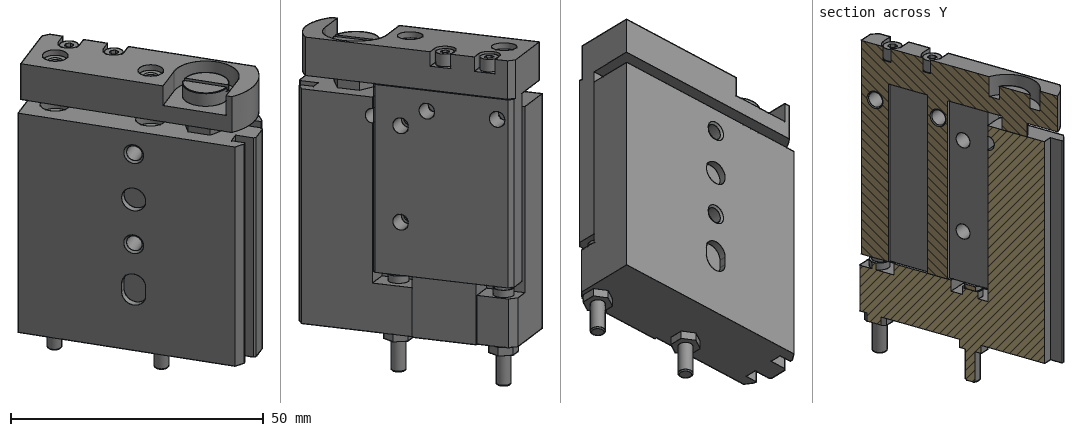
import cadquery as cq


housing_bottom = 8.5
housing_top = 57.2
housing_depth = 14.55
front_wall_depth = 9.4
front_edge_x = 45.4
corner_x = 46.65
corner_y = 1.8
groove_floor_x = 43.85
groove_start_y = 2.4
rib_start_y = 4.95
rib_x = 48.0
rib_chamfer = 0.4
left_corner_chamfer = 1.5

ledge_z = 18.6
bay_side_clearance = 0.3
bay_notch_diameter = 3.0
bay_notch_z = 53.3

mount_x = 24.2
mount_hole_diameter = 3.25
mount_hole_rim = 4.15
mount_hole_z = 52.1
mount_hole_pitch = 20.0
locating_diameter = 5.0
locating_depth = 1.5
locating_hole_z = 42.0
locating_slot_length = 6.9
bore_diameter = 6.0
bore_depth = 2.45

ridge_start_x = 8.15
ridge_end_x = 21.75

adjuster_axes = [(3.5, 12.05), (26.25, 10.95)]
rod_diameter = 3.0
rod_tip_chamfer = 0.3
nut_bottom = 6.7
nut_across_corners = 6.0
stop_collar_diameter = 4.15
stop_collar_top = 20.1

table_left = 0.4
end_plate_front = 0.5
end_plate_back = 14.55
end_plate_bottom = 60.05
end_plate_top = 68.0
end_plate_corner_x = 44.6
end_plate_nose_x = 47.25
end_plate_chamfer = 1.2

back_plate_front = 9.85
back_plate_back = 15.0
back_plate_bottom = 21.1
back_plate_right = 30.1
back_plate_left_chamfer = 0.95
back_plate_right_chamfer = 0.5
channel_spans = [(6.95, 16.05), (20.95, back_plate_right)]
channel_depth = 0.7
pad_hole_xs = [3.7, 18.6]
pad_hole_diameter = 3.25
pad_hole_rim = 4.0
pad_hole_z = 55.75
bumper_diameter = 3.55
bumper_offset_y = 0.3

tool_hole_start_x = 5.7
tool_hole_pitch = mount_hole_pitch
tool_hole_y = 6.05
tool_hole_diameter = 2.45
tool_hole_rim = 3.0
tool_bore_diameter = 5.0
tool_bore_depth = 1.2

screw_xs = [6.5, 15.9]
screw_y = 12.05
screw_slot_width = 4.35
screw_slot_depth = 3.0
screw_head_diameter = 3.75
screw_head_recess = 0.4
screw_socket_across_corners = 1.85
screw_socket_depth = 1.0

bolt_x = 36.8
bolt_y = 7.3
bolt_pocket_width = 13.2
bolt_pocket_floor = 63.65
bolt_head_top = 66.6
bolt_head_diameter = 9.25
bolt_head_chamfer = 0.15
bolt_slot_width = 1.0
bolt_slot_depth = 1.0


def box_between(x0, x1, y0, y1, z0, z1):
    return cq.Workplane("XY").box(x1 - x0, y1 - y0, z1 - z0, centered=False).translate((x0, y0, z0))


def cylinder_up(x, y, z0, z1, diameter):
    return cq.Workplane("XY", origin=(x, y, z0)).circle(diameter / 2).extrude(z1 - z0)


def hex_up(x, y, z0, z1, across_corners, turn):
    prism = cq.Workplane("XY").polygon(6, across_corners).extrude(z1 - z0)
    return prism.rotate((0, 0, 0), (0, 0, 1), turn).translate((x, y, z0))


def cylinder_back(x, z, y0, y1, diameter):
    """Cylinder along +Y from y0 to y1."""
    return cq.Workplane("XZ", origin=(x, y0, z)).circle(diameter / 2).extrude(y0 - y1)


def rimmed_hole_back(x, z, y0, y1, diameter, rim_diameter):
    """Cutter along +Y with a 45-degree countersunk rim at y0."""
    sink = (rim_diameter - diameter) / 2
    rim = cq.Solid.makeCone(rim_diameter / 2, diameter / 2, sink, cq.Vector(x, y0, z), cq.Vector(0, 1, 0))
    return cylinder_back(x, z, y0, y1, diameter).union(cq.Workplane(obj=rim))


tool_hole_xs = [tool_hole_start_x + i * tool_hole_pitch for i in range(2)]


def housing_block():
    front_half = [
        (front_edge_x, 0),
        (corner_x, corner_y),
        (corner_x, groove_start_y),
        (groove_floor_x, groove_start_y),
        (groove_floor_x, rib_start_y),
        (rib_x - rib_chamfer, rib_start_y),
        (rib_x, rib_start_y + rib_chamfer),
    ]
    back_half = [(x, housing_depth - y) for x, y in reversed(front_half)]
    left_side = [
        (left_corner_chamfer, housing_depth),
        (0, housing_depth - left_corner_chamfer),
        (0, 0),
    ]
    outline = cq.Workplane("XY", origin=(0, 0, housing_bottom)).polyline(front_half + back_half + left_side)
    return outline.close().extrude(housing_top - housing_bottom)


def cut_table_bay(body):
    bay_right = back_plate_right + bay_side_clearance
    bay = box_between(0, bay_right, front_wall_depth, housing_depth, ledge_z, housing_top)
    notch = cylinder_back(bay_right, bay_notch_z, front_wall_depth, housing_depth, bay_notch_diameter)
    return body.cut(bay).cut(notch)


def cut_front_holes(body):
    for z in (mount_hole_z, mount_hole_z - mount_hole_pitch):
        hole = rimmed_hole_back(mount_x, z, 0, front_wall_depth, mount_hole_diameter, mount_hole_rim)
        body = body.cut(hole)
    body = body.cut(cylinder_back(mount_x, locating_hole_z, 0, locating_depth, locating_diameter))
    slot_z = locating_hole_z - mount_hole_pitch
    slot = (
        cq.Workplane("XZ", origin=(mount_x, 0, slot_z))
        .slot2D(locating_slot_length, locating_diameter, 90)
        .extrude(-locating_depth)
    )
    return body.cut(slot)


def cut_top_bores(body):
    for x in tool_hole_xs:
        body = body.cut(cylinder_up(x, tool_hole_y, housing_top - bore_depth, housing_top, bore_diameter))
    return body


def add_back_ridge(body):
    """Raised block between the adjusters, reaching up to the underside of the table's back plate."""
    ridge = box_between(
        ridge_start_x, ridge_end_x, front_wall_depth, back_plate_back, housing_bottom, back_plate_bottom
    )
    return body.union(ridge)


def stroke_adjuster(x, y):
    rod = cylinder_up(x, y, 0, ledge_z, rod_diameter).faces("<Z").chamfer(rod_tip_chamfer)
    nut = hex_up(x, y, nut_bottom, housing_bottom, nut_across_corners, 30)
    collar = cylinder_up(x, y, ledge_z, stop_collar_top, stop_collar_diameter)
    return rod.union(nut).union(collar)


def make_housing():
    body = cut_table_bay(housing_block())
    body = cut_top_bores(cut_front_holes(body))
    body = add_back_ridge(body)
    for x, y in adjuster_axes:
        body = body.union(stroke_adjuster(x, y))
    return body


def end_plate():
    nose_y = (end_plate_front + end_plate_back) / 2
    return (
        cq.Workplane("XY", origin=(0, 0, end_plate_bottom))
        .moveTo(table_left, end_plate_front)
        .lineTo(end_plate_corner_x, end_plate_front)
        .threePointArc((end_plate_nose_x, nose_y), (end_plate_corner_x, end_plate_back))
        .lineTo(table_left + end_plate_chamfer, end_plate_back)
        .lineTo(table_left, end_plate_back - end_plate_chamfer)
        .close()
        .extrude(end_plate_top - end_plate_bottom)
    )


def back_plate():
    outline = [
        (table_left, back_plate_front),
        (back_plate_right, back_plate_front),
        (back_plate_right, back_plate_back - back_plate_right_chamfer),
        (back_plate_right - back_plate_right_chamfer, back_plate_back),
        (table_left + back_plate_left_chamfer, back_plate_back),
        (table_left, back_plate_back - back_plate_left_chamfer),
    ]
    base = cq.Workplane("XY", origin=(0, 0, back_plate_bottom)).polyline(outline).close()
    plate = base.extrude(end_plate_bottom - back_plate_bottom)
    for x0, x1 in channel_spans:
        channel_back = back_plate_front + channel_depth
        plate = plate.cut(
            box_between(x0, x1, back_plate_front, channel_back, back_plate_bottom, end_plate_bottom)
        )
    for x in pad_hole_xs:
        hole = rimmed_hole_back(
            x, pad_hole_z, back_plate_front, back_plate_back, pad_hole_diameter, pad_hole_rim
        )
        plate = plate.cut(hole)
    for z in (mount_hole_z, mount_hole_z - mount_hole_pitch):
        plate = plate.cut(cylinder_back(mount_x, z, back_plate_front, back_plate_back, mount_hole_diameter))
    return plate


def add_bumpers(body):
    """Round bumpers under the back plate that land on the adjusters' collars."""
    for x, y in adjuster_axes:
        bumper_y = y + bumper_offset_y
        bumper = cylinder_up(x, bumper_y, stop_collar_top, back_plate_bottom, bumper_diameter)
        body = body.union(bumper)
    return body


def cut_tool_holes(body):
    bore_floor = end_plate_top - tool_bore_depth
    sink = (tool_hole_rim - tool_hole_diameter) / 2
    for x in tool_hole_xs:
        rim = cq.Solid.makeCone(
            tool_hole_diameter / 2, tool_hole_rim / 2, sink, cq.Vector(x, tool_hole_y, bore_floor - sink)
        )
        body = body.cut(cylinder_up(x, tool_hole_y, bore_floor, end_plate_top, tool_bore_diameter))
        body = body.cut(cylinder_up(x, tool_hole_y, end_plate_bottom, bore_floor, tool_hole_diameter))
        body = body.cut(cq.Workplane(obj=rim))
    return body


def add_recessed_screws(body):
    """Socket-head screws sunk in U-slots that open to the back of the end plate."""
    slot_floor = end_plate_top - screw_slot_depth
    head_top = end_plate_top - screw_head_recess
    half_width = screw_slot_width / 2
    for x in screw_xs:
        slot_end = cylinder_up(x, screw_y, slot_floor, end_plate_top, screw_slot_width)
        slot_mouth = box_between(
            x - half_width, x + half_width, screw_y, end_plate_back, slot_floor, end_plate_top
        )
        socket = hex_up(
            x, screw_y, head_top - screw_socket_depth, head_top, screw_socket_across_corners, 30
        )
        head = cylinder_up(x, screw_y, slot_floor, head_top, screw_head_diameter).cut(socket)
        body = body.cut(slot_end).cut(slot_mouth).union(head)
    return body


def add_stop_bolt(body):
    """Slotted bolt in a round-backed pocket, with a hexagon below the end plate."""
    half_width = bolt_pocket_width / 2
    pocket_back = cylinder_up(bolt_x, bolt_y, bolt_pocket_floor, end_plate_top, bolt_pocket_width)
    pocket_mouth = box_between(
        bolt_x - half_width, bolt_x + half_width, end_plate_front, bolt_y, bolt_pocket_floor, end_plate_top
    )
    head_radius = bolt_head_diameter / 2
    slot = box_between(
        bolt_x - head_radius,
        bolt_x + head_radius,
        bolt_y - bolt_slot_width / 2,
        bolt_y + bolt_slot_width / 2,
        bolt_head_top - bolt_slot_depth,
        bolt_head_top,
    )
    head = cylinder_up(bolt_x, bolt_y, bolt_pocket_floor, bolt_head_top, bolt_head_diameter)
    head = head.faces(">Z").chamfer(bolt_head_chamfer).cut(slot)
    hexagon = hex_up(bolt_x, bolt_y, housing_top, end_plate_bottom, bolt_head_diameter, 0)
    return body.cut(pocket_back).cut(pocket_mouth).union(head).union(hexagon)


def make_table():
    body = add_bumpers(end_plate().union(back_plate()))
    body = cut_tool_holes(body)
    body = add_recessed_screws(body)
    return add_stop_bolt(body)


housing = make_housing()
table = make_table()
result = cq.Compound.makeCompound([housing.solids().val(), table.solids().val()])